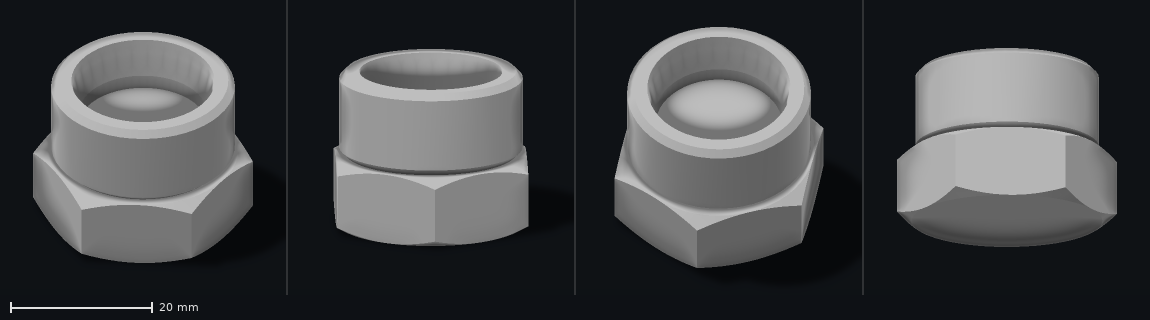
import cadquery as cq
import math

side_count = 6
across_flats = 27.0
hex_height = 10.0
hex_chamfer_angle = 30.0

total_height = 22.0
body_diameter = 26.0
body_chamfer = 0.92

bore_diameter = 18.0
mouth_diameter = 20.3
taper_half_angle = 12.0
bore_depth = 7.5


def revolve_about_z(outline):
    """Turn an (r, z) outline into a solid of revolution about Z."""
    profile = cq.Workplane("XZ").polyline(outline).close()
    return profile.revolve(360, (0, 0, 0), (0, 1, 0))


def make_hex_base():
    """Hexagon with flats facing +/-X, its corners chamfered at both ends."""
    half_side_angle = 180 / side_count
    flat_radius = across_flats / 2
    corner_radius = flat_radius / math.cos(math.radians(half_side_angle))
    drop = (corner_radius - flat_radius) * math.tan(math.radians(hex_chamfer_angle))
    prism = (
        cq.Workplane("XY")
        .polygon(side_count, 2 * corner_radius)
        .extrude(hex_height)
        .rotate((0, 0, 0), (0, 0, 1), half_side_angle)
    )
    envelope = revolve_about_z([
        (0, 0),
        (flat_radius, 0),
        (corner_radius, drop),
        (corner_radius, hex_height - drop),
        (flat_radius, hex_height),
        (0, hex_height),
    ])
    return prism.intersect(envelope)


def make_body():
    """Cylinder chamfered at the top and narrowed where it meets the hexagon."""
    radius = body_diameter / 2
    return revolve_about_z([
        (0, hex_height),
        (radius - body_chamfer, hex_height),
        (radius, hex_height + body_chamfer),
        (radius, total_height - body_chamfer),
        (radius - body_chamfer, total_height),
        (0, total_height),
    ])


def make_bore():
    """Flat-bottomed bore that widens in a cone toward the top face."""
    bore_radius = bore_diameter / 2
    mouth_radius = mouth_diameter / 2
    taper_length = (mouth_radius - bore_radius) / math.tan(math.radians(taper_half_angle))
    return revolve_about_z([
        (0, total_height - bore_depth),
        (bore_radius, total_height - bore_depth),
        (bore_radius, total_height - taper_length),
        (mouth_radius, total_height),
        (0, total_height),
    ])


result = make_hex_base().union(make_body()).cut(make_bore())